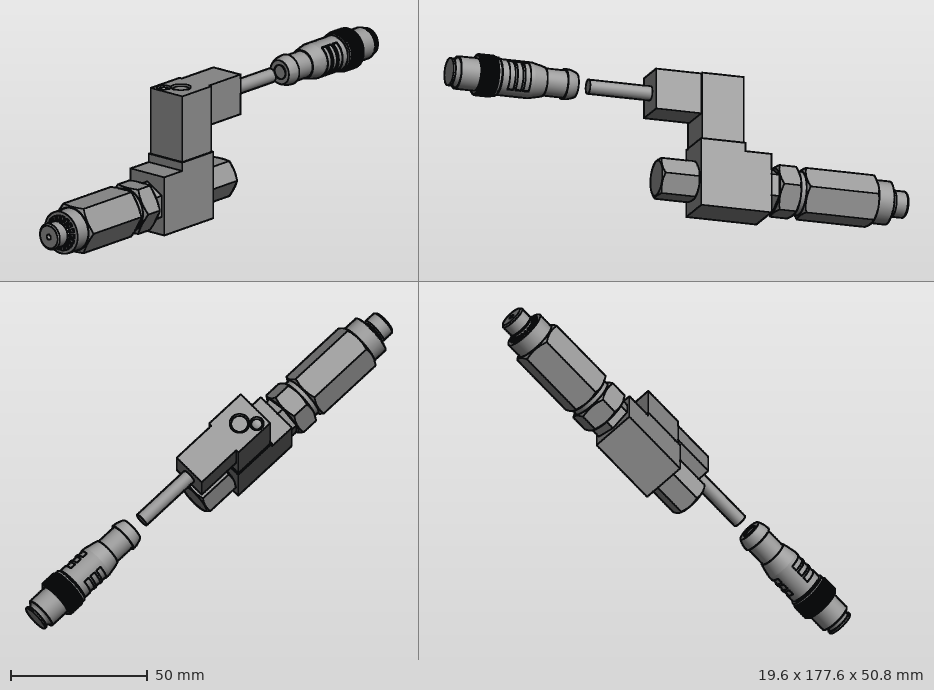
import cadquery as cq
import math


top_z = 39.8
block_bottom_z = -11.0
cable_axis_z = 32.1
hex_chamfer_angle = math.radians(30)
hex_chamfer_ratio = 0.96

block_width = 16.3
block_rear_y = -6.5
block_front_y = -33.9
block_step_y = -23.8
block_step_z = 11.4
block_top_z = 14.5

head_width = 15.5
head_rear_y = -7.1
head_front_y = -23.3
outlet_width = 13.1
outlet_rear_y = 10.5
outlet_height = 2 * (top_z - cable_axis_z)
button_diameter = 6.0
button_recess_diameter = 7.3
lamp_recess_diameter = 5.1
lamp_offset = 4.5
recess_depth = (button_recess_diameter - button_diameter) / 2
lamp_diameter = lamp_recess_diameter - 2 * recess_depth
lamp_height = recess_depth

cable_diameter = 5.3
cable_end_y = 34.6

rear_hex_flats = 13.5
rear_hex_end_y = 8.0

neck_hex_flats = 14.0
fitting_hex_flats = 17.0
nut_rear_y = -37.3
nut_front_y = -45.6
long_hex_rear_y = -47.5
long_hex_front_y = -76.0
collar_diameter = 16.0
collar_front_y = -81.8
serration_diameter = 13.1
serration_height = 0.5
serration_count = 18
tip_neck_diameter = 8.5
tip_diameter = 9.8
tip_rear_y = -83.2
tip_front_y = -88.8
tip_chamfer = (tip_diameter - tip_neck_diameter) / 2
tip_hole_diameter = 2.0
tip_hole_depth = 3.5

plug_front_y = 88.8
plug_rim_diameter = 10.1
plug_rim_back_y = 87.9
plug_groove_diameter = 9.0
plug_groove_end_diameter = 11.0
plug_groove_radius = 2.5
sleeve_diameter = 12.0
sleeve_front_y = 85.9
knurl_diameter = 15.3
knurl_front_y = 78.5
knurl_rear_y = 72.5
knurl_depth = 0.45
knurl_chamfer = 0.5
knurl_count = 64
grip_diameter = 13.3
flange_diameter = 14.4
flange_front_y = 71.7
flange_rear_y = 70.6
grip_front_y = 70.1
grip_rear_y = 57.5
shoulder_mid_diameter = 12.2
shoulder_end_diameter = 10.8
shank_diameter = 10.1
shank_front_y = 52.2
shank_rear_y = 44.2
tail_front_diameter = 11.4
tail_mid_diameter = 10.8
tail_end_diameter = 9.0
plug_rear_y = 39.8
cable_socket_depth = 0.4
grip_slot_count = 3
grip_slot_pitch = 3.0
grip_slot_width = 2.1
grip_slot_depth = 0.27
grip_slot_centre_y = 63.2
grip_land_half_width = 3.5


def box(width, y_range, z_range):
    """A box centred on X that spans the given Y and Z ranges."""
    y_low, y_high = sorted(y_range)
    z_low, z_high = sorted(z_range)
    return cq.Workplane("XY").box(width, y_high - y_low, z_high - z_low).translate(
        (0, (y_low + y_high) / 2, (z_low + z_high) / 2)
    )


def cylinder(diameter, y_start, y_end):
    """A cylinder on the Y axis."""
    y_low, y_high = sorted((y_start, y_end))
    disc = cq.Workplane("XZ", origin=(0, y_high, 0)).circle(diameter / 2)
    return disc.extrude(y_high - y_low)


def hexagon(flats, y_start, y_end, turn=0):
    """A hexagonal bar on the Y axis, with two corners on X when turn is 0."""
    y_low, y_high = sorted((y_start, y_end))
    corners = flats / math.cos(math.pi / 6)
    outline = cq.Workplane("XZ", origin=(0, y_high, 0)).polygon(6, corners)
    return outline.extrude(y_high - y_low).rotate((0, 0, 0), (0, 1, 0), turn)


def chamfered_hexagon(flats, y_start, y_end):
    """A hexagonal bar whose corners are turned off by a shallow cone at both ends."""
    y_low, y_high = sorted((y_start, y_end))
    corner_radius = flats / 2 / math.cos(math.pi / 6)
    chamfer_width = corner_radius - hex_chamfer_ratio * flats / 2
    chamfer_length = chamfer_width * math.tan(hex_chamfer_angle)
    turned = cylinder(2 * corner_radius, y_low, y_high)
    turned = turned.faces("<Y or >Y").chamfer(chamfer_length, chamfer_width)
    return hexagon(flats, y_low, y_high).intersect(turned)


def make_block():
    upper = box(block_width, (block_rear_y, block_step_y), (block_step_z, block_top_z))
    lower = box(block_width, (block_rear_y, block_front_y), (block_bottom_z, block_step_z))
    return lower.union(upper)


def countersink(diameter, x, y):
    """A shallow 45 degree conical cutter, widest at the top face of the head."""
    disc = cq.Workplane("XY", origin=(x, y, top_z)).circle(diameter / 2)
    return disc.extrude(-recess_depth, taper=45)


def make_head():
    column = box(head_width, (head_rear_y, head_front_y), (block_top_z, top_z))
    outlet = box(outlet_width, (head_rear_y, outlet_rear_y), (top_z - outlet_height, top_z))
    head = column.union(outlet)

    button_y = (head_rear_y + head_front_y) / 2
    button_recess = countersink(button_recess_diameter, 0, button_y)
    lamp_x = -lamp_offset
    lamp_y = button_y - lamp_offset
    lamp_recess = countersink(lamp_recess_diameter, lamp_x, lamp_y)
    lamp_radius = lamp_diameter / 2
    ball_radius = (lamp_radius**2 + lamp_height**2) / (2 * lamp_height)
    lamp_top_z = top_z - recess_depth + lamp_height
    lamp = cq.Workplane("XY", origin=(lamp_x, lamp_y, lamp_top_z - ball_radius)).sphere(ball_radius)
    lamp_dome = lamp_recess.intersect(lamp)
    return head.cut(button_recess).cut(lamp_recess).union(lamp_dome)


def make_cable():
    return cylinder(cable_diameter, outlet_rear_y, cable_end_y).translate((0, 0, cable_axis_z))


def make_rear_hexagon():
    return chamfered_hexagon(rear_hex_flats, block_rear_y, rear_hex_end_y)


def make_serration():
    """A ring of radial teeth standing on the collar face around the tip neck."""
    tooth_top_y = collar_front_y - serration_height
    ring = cylinder(serration_diameter, collar_front_y, tooth_top_y)
    mean_diameter = (serration_diameter + tip_neck_diameter) / 2
    gap_width = math.pi * mean_diameter / (2 * serration_count)
    for index in range(serration_count):
        gap = cq.Workplane("XY").box(gap_width, serration_height, serration_diameter)
        gap = gap.translate((0, (collar_front_y + tooth_top_y) / 2, serration_diameter / 2))
        ring = ring.cut(gap.rotate((0, 0, 0), (0, 1, 0), index * 360 / serration_count))
    return ring


def make_fitting():
    neck = hexagon(neck_hex_flats, block_front_y, nut_rear_y, turn=30)
    nut = chamfered_hexagon(fitting_hex_flats, nut_rear_y, nut_front_y)
    spacer = cylinder(collar_diameter, nut_front_y, long_hex_rear_y)
    long_hex = chamfered_hexagon(fitting_hex_flats, long_hex_rear_y, long_hex_front_y)
    collar = cylinder(collar_diameter, long_hex_front_y, collar_front_y)
    tip_neck = cylinder(tip_neck_diameter, collar_front_y, tip_rear_y)
    tip = cylinder(tip_diameter, tip_rear_y, tip_front_y).faces("<Y or >Y").chamfer(tip_chamfer)
    tip_hole = cylinder(tip_hole_diameter, tip_front_y + tip_hole_depth, tip_front_y)

    fitting = neck.union(nut).union(spacer).union(long_hex).union(collar)
    fitting = fitting.union(tip_neck).union(make_serration())
    return fitting.union(tip).cut(tip_hole)


def make_knurl():
    """The plug's knurled ring: V-grooves along Y around the rim, with a chamfered front edge."""
    points = []
    for index in range(2 * knurl_count):
        angle = math.pi * index / knurl_count
        radius = knurl_diameter / 2 - knurl_depth * (index % 2)
        points.append((radius * math.cos(angle), radius * math.sin(angle)))
    outline = cq.Workplane("XZ", origin=(0, knurl_front_y, 0)).polyline(points).close()
    ring = outline.extrude(knurl_front_y - knurl_rear_y)
    rim = cylinder(knurl_diameter, knurl_front_y, knurl_rear_y).faces(">Y").chamfer(knurl_chamfer)
    return ring.intersect(rim)


def make_grip_slots():
    """Shallow slots around both X sides of the grip, leaving plain lands above and below."""
    slots = cq.Workplane("XY")
    for index in range(grip_slot_count):
        slot_y = grip_slot_centre_y + (index - (grip_slot_count - 1) / 2) * grip_slot_pitch
        slot_range = (slot_y - grip_slot_width / 2, slot_y + grip_slot_width / 2)
        slot = cylinder(grip_diameter, *slot_range)
        slot = slot.cut(cylinder(grip_diameter - 2 * grip_slot_depth, *slot_range))
        land = box(2 * grip_land_half_width, slot_range, (-grip_diameter, grip_diameter))
        slots = slots.add(slot.cut(land))
    return slots.combine()


def make_plug():
    turned = (
        cq.Workplane("XY")
        .moveTo(0, plug_front_y)
        .lineTo(plug_rim_diameter / 2, plug_front_y)
        .lineTo(plug_rim_diameter / 2, plug_rim_back_y)
        .lineTo(plug_groove_diameter / 2, plug_rim_back_y)
        .radiusArc((plug_groove_end_diameter / 2, sleeve_front_y), -plug_groove_radius)
        .lineTo(sleeve_diameter / 2, sleeve_front_y)
        .lineTo(sleeve_diameter / 2, knurl_rear_y)
        .lineTo(grip_diameter / 2, knurl_rear_y)
        .lineTo(grip_diameter / 2, flange_front_y)
        .lineTo(flange_diameter / 2, flange_front_y)
        .lineTo(flange_diameter / 2, flange_rear_y)
        .lineTo(sleeve_diameter / 2, flange_rear_y)
        .lineTo(sleeve_diameter / 2, grip_front_y)
        .lineTo(grip_diameter / 2, grip_front_y)
        .lineTo(grip_diameter / 2, grip_rear_y)
        .threePointArc(
            (shoulder_mid_diameter / 2, (grip_rear_y + shank_front_y) / 2),
            (shoulder_end_diameter / 2, shank_front_y),
        )
        .lineTo(shank_diameter / 2, shank_front_y)
        .lineTo(shank_diameter / 2, shank_rear_y)
        .lineTo(tail_front_diameter / 2, shank_rear_y)
        .threePointArc(
            (tail_mid_diameter / 2, (shank_rear_y + plug_rear_y) / 2),
            (tail_end_diameter / 2, plug_rear_y),
        )
        .lineTo(0, plug_rear_y)
        .close()
        .revolve(360, (0, 0, 0), (0, 1, 0))
    )
    cable_socket = cylinder(cable_diameter, plug_rear_y, plug_rear_y + cable_socket_depth)
    plug = turned.union(make_knurl()).cut(make_grip_slots()).cut(cable_socket)
    return plug.translate((0, 0, cable_axis_z))


block = make_block()
head = make_head()
cable = make_cable()
rear_hexagon = make_rear_hexagon()
fitting = make_fitting()
plug = make_plug()

result = cq.Compound.makeCompound(
    [body.solids().val() for body in (block, head, cable, rear_hexagon, fitting, plug)]
)